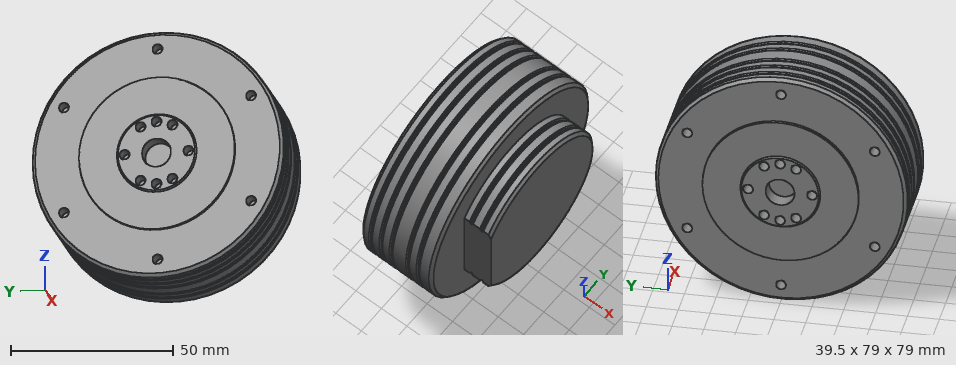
import cadquery as cq
import math

total_length = 39.5
hub_height = 0.5
body_start = 1.5
body_end = 29.1

hub_radius = 12.6
cover_radius = 24.5
body_radius = 39.5
boss_radius = 28.45

edge_chamfer = 1.0
hub_chamfer = hub_height

groove_depth = 0.42
groove_floor_width = 0.55
groove_pitch = 4.0

body_groove_groups = ((5.2, 3), (19.75, 2))
boss_groove_groups = ((31.75, 2),)

flat_distance = 23.1

bore_diameter = 9.1
bore_depth = 5.2
screw_diameter = 3.1
screw_depth = 5.0
hub_screw_circle_radius = 10.0
hub_screw_angles = (0, 60, 90, 120, 180, 240, 270, 300)
rim_screw_circle_radius = 34.0
rim_screw_count = 6
first_rim_screw_angle = 90


def disc(radius, start, end):
    """Solid cylinder on the X axis between two axial positions."""
    return cq.Workplane("YZ", origin=(start, 0, 0)).circle(radius).extrude(end - start)


def groove_ring(position, radius):
    """Ring that cuts one groove into a cylinder of the given radius."""
    half_floor = groove_floor_width / 2
    half_mouth = half_floor + groove_depth
    floor_radius = radius - groove_depth
    clear_radius = radius + groove_depth
    profile = [
        (position - half_floor, floor_radius),
        (position + half_floor, floor_radius),
        (position + half_mouth, radius),
        (position + half_mouth, clear_radius),
        (position - half_mouth, clear_radius),
        (position - half_mouth, radius),
    ]
    return cq.Workplane("XY").polyline(profile).close().revolve(360, (0, 0, 0), (1, 0, 0))


def grooved(solid, groups, radius):
    """Cut every groove of each evenly pitched group."""
    for first_position, count in groups:
        for i in range(count):
            solid = solid.cut(groove_ring(first_position + i * groove_pitch, radius))
    return solid


def screw_holes(face_position, circle_radius, angles):
    """Cylinders of a bolt circle, angles counted in the YZ plane from +Y."""
    centres = [
        (circle_radius * math.cos(math.radians(angle)), circle_radius * math.sin(math.radians(angle)))
        for angle in angles
    ]
    plane = cq.Workplane("YZ", origin=(face_position, 0, 0))
    return plane.pushPoints(centres).circle(screw_diameter / 2).extrude(screw_depth)


hub = disc(hub_radius, 0, body_start).faces("<X").edges().chamfer(hub_chamfer)
cover = disc(cover_radius, hub_height, body_end)

body = disc(body_radius, body_start, body_end).edges().chamfer(edge_chamfer)
body = grooved(body, body_groove_groups, body_radius)

boss = disc(boss_radius, body_end, total_length).faces(">X").edges().chamfer(edge_chamfer)
boss = grooved(boss, boss_groove_groups, boss_radius)
beyond_flat = cq.Workplane("XY", origin=(body_end, -boss_radius, 0)).box(
    total_length - body_end, boss_radius - flat_distance, 2 * boss_radius, centered=(False, False, True)
)
boss = boss.cut(beyond_flat)

bore = disc(bore_diameter / 2, 0, bore_depth)
hub_screws = screw_holes(0, hub_screw_circle_radius, hub_screw_angles)
rim_screw_angles = [first_rim_screw_angle + i * 360 / rim_screw_count for i in range(rim_screw_count)]
rim_screws = screw_holes(body_start, rim_screw_circle_radius, rim_screw_angles)

result = body.union(cover).union(hub).union(boss).cut(bore).cut(hub_screws).cut(rim_screws)